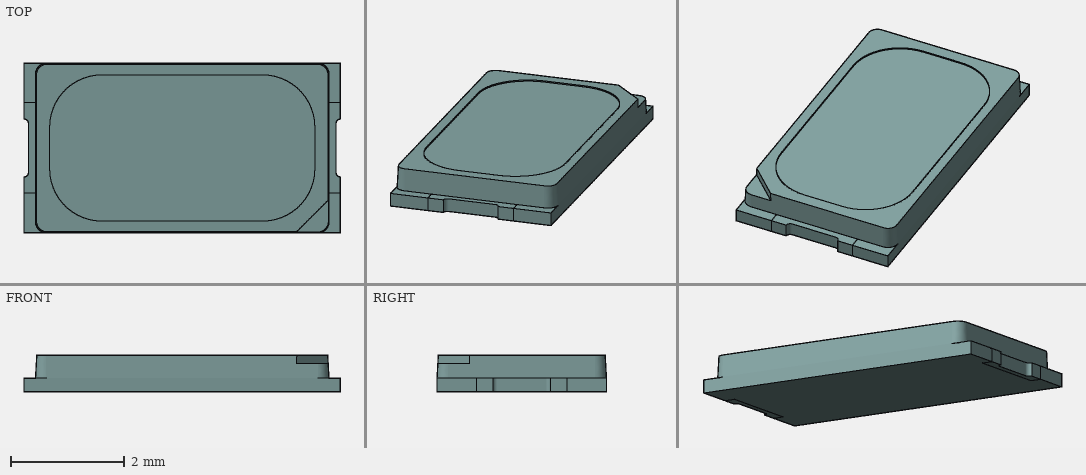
import cadquery as cq
import math

length = 5.6
width = 3.0
height = 0.65

plate_height = 0.24
rim_height = height - plate_height
ledge = 0.2
rim_length = length - 2 * ledge
rim_corner_radius = 0.195
rim_inset = 0.02
draft_angle = math.degrees(math.atan(rim_inset / rim_height))

window_length = 4.69
window_width = 2.59
window_radius = 0.925
window_depth = 0.02

mark_leg = 0.595
mark_floor = 0.5

lead_width = 1.6
notch_width = 1.02
notch_depth = 0.08


def make_lead_blank(side):
    """Plain block of one lead; side is -1 or +1 along X."""
    center_x = side * (length - ledge) / 2
    return (
        cq.Workplane("XY")
        .center(center_x, 0)
        .rect(ledge, lead_width)
        .extrude(plate_height)
    )


def make_lead(side):
    """Lead with its end notch, whose inner corners are quarter rounds."""
    outer_x = side * length / 2
    inner_x = outer_x - side * notch_depth
    half_mouth = notch_width / 2
    half_floor = half_mouth - notch_depth
    arc_reach = notch_depth * math.sqrt(0.5)
    arc_x = outer_x - side * arc_reach
    arc_y = half_floor + arc_reach
    notch = (
        cq.Workplane("XY")
        .moveTo(outer_x, -half_mouth)
        .threePointArc((arc_x, -arc_y), (inner_x, -half_floor))
        .lineTo(inner_x, half_floor)
        .threePointArc((arc_x, arc_y), (outer_x, half_mouth))
        .close()
        .extrude(plate_height)
    )
    return make_lead_blank(side).cut(notch)


def make_rim():
    """Tapered block with rounded vertical corners."""
    outline = cq.Sketch().rect(rim_length, width).vertices().fillet(rim_corner_radius)
    return (
        cq.Workplane("XY")
        .workplane(offset=plate_height)
        .placeSketch(outline)
        .extrude(rim_height, taper=draft_angle)
    )


def make_window():
    """Cutter for the shallow window."""
    outline = cq.Sketch().rect(window_length, window_width).vertices().fillet(window_radius)
    return (
        cq.Workplane("XY")
        .workplane(offset=height - window_depth)
        .placeSketch(outline)
        .extrude(window_depth)
    )


def make_polarity_mark():
    """Triangular cutter for the corner step."""
    corner_x = rim_length / 2
    corner_y = -width / 2
    return (
        cq.Workplane("XY")
        .workplane(offset=mark_floor)
        .moveTo(corner_x, corner_y)
        .lineTo(corner_x - mark_leg, corner_y)
        .lineTo(corner_x, corner_y + mark_leg)
        .close()
        .extrude(height - mark_floor)
    )


def make_housing():
    """Plate and rim with the window, the mark and the two lead pockets."""
    plate = cq.Workplane("XY").rect(length, width).extrude(plate_height)
    housing = plate.union(make_rim())
    housing = housing.cut(make_window())
    housing = housing.cut(make_polarity_mark())
    for side in (-1, 1):
        housing = housing.cut(make_lead_blank(side))
    return housing


housing = make_housing()
leads = [make_lead(side) for side in (-1, 1)]

result = cq.Compound.makeCompound([housing.solids().val(), *[lead.solids().val() for lead in leads]])